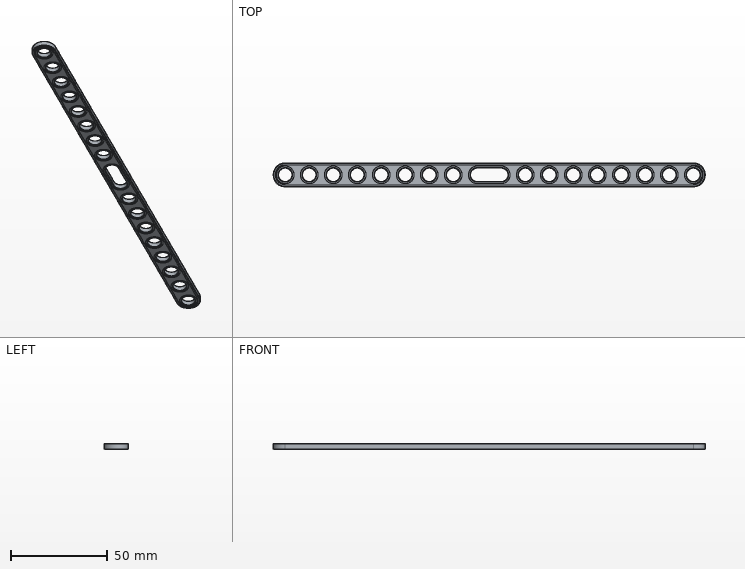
import cadquery as cq

pitch = 12.5
position_count = 18
width = 12.5
thickness = 3.12
hole_diameter = 7.0
rim_width = 1.1
pocket_depth = 0.2
edge_chamfer = 0.3
mouth_taper = 45

hole_span = (position_count - 1) * pitch
length = hole_span + width
collar_diameter = hole_diameter + 2 * rim_width
mouth_diameter = hole_diameter + 2 * edge_chamfer
slot_positions = (position_count // 2 - 1, position_count // 2)
hole_centers = [
    (index * pitch - hole_span / 2, 0)
    for index in range(position_count)
    if index not in slot_positions
]


def make_openings(diameter, height, taper=0):
    """Round solids at the hole positions and a central slot that spans one pitch."""
    holes = cq.Workplane("XY").pushPoints(hole_centers).circle(diameter / 2)
    slot = cq.Workplane("XY").slot2D(pitch + diameter, diameter)
    return holes.extrude(height, taper=taper).union(slot.extrude(height, taper=taper))


def make_bar():
    """Flat bar with full-round ends, bevelled along both outside edges."""
    bar = cq.Workplane("XY").slot2D(length, width).extrude(thickness)
    return bar.faces("|Z").edges().chamfer(edge_chamfer)


def make_pocket():
    """Recess inside the outline rail that leaves a collar around each opening."""
    pocket_outline = cq.Workplane("XY").slot2D(length - 2 * rim_width, width - 2 * rim_width)
    return pocket_outline.extrude(pocket_depth).cut(make_openings(collar_diameter, pocket_depth))


def make_mouths():
    """Flares that narrow from the bottom face to the straight part of each opening."""
    return make_openings(mouth_diameter, edge_chamfer, mouth_taper)


def cut_both_faces(body, cutter):
    """Remove a cutter that sits on the bottom face, and its mirror image at the top."""
    mid_height = (0, 0, thickness / 2)
    return body.cut(cutter).cut(cutter.mirror("XY", mid_height))


bar = make_bar().cut(make_openings(hole_diameter, thickness))
bar = cut_both_faces(bar, make_pocket())
result = cut_both_faces(bar, make_mouths())